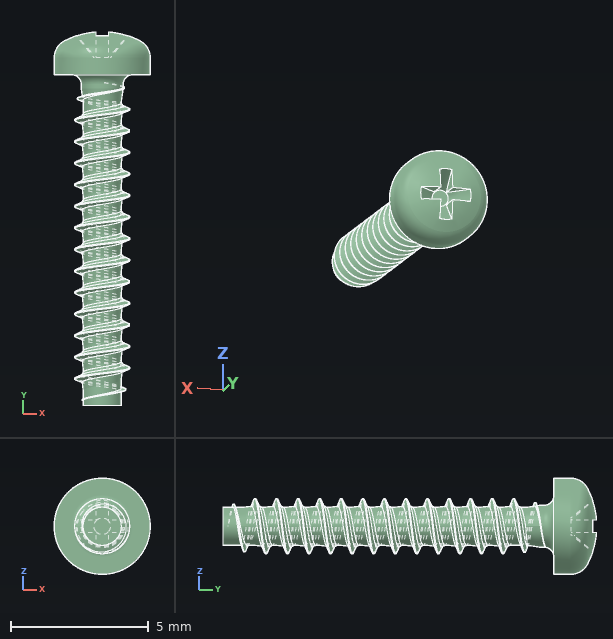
import math

import cadquery as cq


HEAD_RADIUS = 1.75
HEAD_HEIGHT = 1.5775
RIM_HEIGHT = 0.615
SHOULDER_RADIUS = 1.376
SHOULDER_HEIGHT = 1.235
SEAT_EDGE_FILLET = 0.03

RECESS_RADIUS = 0.94
RECESS_MOUTH_HEIGHT = 1.42
RECESS_FLOOR_RADIUS = 0.3
RECESS_DEPTH = 0.8
WING_WIDTH = 0.45

SHANK_LENGTH = 12.0
NECK_RADIUS = 0.765
NECK_FILLET_WIDTH = 0.355
NECK_FILLET_LENGTH = 0.335
NECK_END = 0.5
CORE_START = 1.0
CORE_RADIUS = 0.693

PITCH = 0.782
CREST_RADIUS = 1.0
CREST_HALF_WIDTH = 0.02
FLANK_HALF_WIDTH = 0.125
HEAD_SIDE_FOOT_RADIUS = 0.76
TIP_SIDE_FOOT_RADIUS = 0.73
RAMP_START = 0.25
CORE_SLOPE_END = 0.52
ROOT_RADIUS = 0.6
OVERLAP = 0.01
FIRST_FULL_CREST = 1.25
RUN_IN_TURNS = 1.4
FULL_TURNS = 12.5
RUN_OUT_TURNS = 1.0
FADED_SCALE = 0.15
FADED_DROP = 0.26
CYLINDER_ANGLE = 360


def turn_about_axis(shape, turns):
    """Rotate a shape about the screw axis by a number of turns."""
    return shape.rotate(cq.Vector(0, 0, 0), cq.Vector(0, 0, 1), 360 * turns)


def make_body():
    """Head and plain shank as one turned profile."""
    dome_drop = HEAD_HEIGHT - SHOULDER_HEIGHT
    dome_radius = (SHOULDER_RADIUS**2 + dome_drop**2) / (2 * dome_drop)
    shoulder_inset = HEAD_RADIUS - SHOULDER_RADIUS
    shoulder_rise = SHOULDER_HEIGHT - RIM_HEIGHT
    shoulder_arc_radius = (shoulder_inset**2 + shoulder_rise**2) / (2 * shoulder_inset)
    arc_middle = 1 - math.sqrt(0.5)
    fillet_end = (NECK_RADIUS, NECK_FILLET_LENGTH)
    fillet_middle = (
        NECK_RADIUS + NECK_FILLET_WIDTH * arc_middle,
        NECK_FILLET_LENGTH * arc_middle,
    )
    profile = (
        cq.Workplane("XZ")
        .moveTo(0, -HEAD_HEIGHT)
        .radiusArc((SHOULDER_RADIUS, -SHOULDER_HEIGHT), -dome_radius)
        .radiusArc((HEAD_RADIUS, -RIM_HEIGHT), -shoulder_arc_radius)
        .lineTo(HEAD_RADIUS, -SEAT_EDGE_FILLET)
        .radiusArc((HEAD_RADIUS - SEAT_EDGE_FILLET, 0), -SEAT_EDGE_FILLET)
        .lineTo(NECK_RADIUS + NECK_FILLET_WIDTH, 0)
        .threePointArc(fillet_middle, fillet_end)
        .lineTo(NECK_RADIUS, NECK_END)
        .lineTo(CORE_RADIUS, CORE_START)
        .lineTo(CORE_RADIUS, SHANK_LENGTH)
        .lineTo(0, SHANK_LENGTH)
        .close()
    )
    return profile.revolve(360, (0, 0, 0), (0, 1, 0))


def make_recess():
    """Cross-shaped driver recess whose wings taper towards the floor."""
    floor_height = RECESS_MOUTH_HEIGHT - RECESS_DEPTH
    slope = (RECESS_RADIUS - RECESS_FLOOR_RADIUS) / RECESS_DEPTH
    top_radius = RECESS_RADIUS + slope * (HEAD_HEIGHT - RECESS_MOUTH_HEIGHT)
    depth = HEAD_HEIGHT - floor_height
    cone = cq.Workplane(
        cq.Solid.makeCone(top_radius, RECESS_FLOOR_RADIUS, depth, cq.Vector(0, 0, -HEAD_HEIGHT))
    )
    start = cq.Workplane("XY", origin=(0, 0, -HEAD_HEIGHT))
    wing_along_x = start.rect(2 * top_radius, WING_WIDTH).extrude(depth)
    wing_along_y = start.rect(WING_WIDTH, 2 * top_radius).extrude(depth)
    return wing_along_x.union(wing_along_y).intersect(cone)


def thread_profile():
    """Thread section as (axial offset from the crest, radius) points, from head to tip side."""
    return [
        (-RAMP_START, ROOT_RADIUS),
        (-RAMP_START, CORE_RADIUS - OVERLAP),
        (-FLANK_HALF_WIDTH, HEAD_SIDE_FOOT_RADIUS),
        (-CREST_HALF_WIDTH, CREST_RADIUS),
        (CREST_HALF_WIDTH, CREST_RADIUS),
        (FLANK_HALF_WIDTH, TIP_SIDE_FOOT_RADIUS),
        (CORE_SLOPE_END, CORE_RADIUS - OVERLAP),
        (CORE_SLOPE_END, ROOT_RADIUS),
    ]


def helix(start, end, first_turn, turns):
    """Helix (conical if the radius changes) from one section point to another."""
    start_offset, start_radius = start
    end_offset, end_radius = end
    rise = turns * PITCH + end_offset - start_offset
    growth = end_radius - start_radius
    slant = math.hypot(rise, growth)
    cone_angle = math.degrees(math.atan2(growth, rise)) if growth else CYLINDER_ANGLE
    start_height = FIRST_FULL_CREST + first_turn * PITCH + start_offset
    wire = cq.Wire.makeHelix(
        slant / turns, slant, start_radius, cq.Vector(0, 0, start_height), angle=cone_angle
    )
    return turn_about_axis(wire, first_turn)


def section_face(profile, turn):
    """Flat end face of the thread at the given turn."""
    height = FIRST_FULL_CREST + turn * PITCH
    points = [cq.Vector(radius, 0, height + offset) for offset, radius in profile]
    wire = cq.Wire.makePolygon(points, close=True)
    return turn_about_axis(cq.Face.makeFromWires(wire), turn)


def thread_stretch(start_profile, end_profile, first_turn, turns):
    """Solid thread over some turns, blending from one section to another."""
    edges = [
        helix(start, end, first_turn, turns) for start, end in zip(start_profile, end_profile)
    ]
    faces = [
        cq.Face.makeRuledSurface(edge, following)
        for edge, following in zip(edges, edges[1:] + edges[:1])
    ]
    faces.append(section_face(start_profile, first_turn))
    faces.append(section_face(end_profile, first_turn + turns))
    strips = [face for part in faces for face in part.Faces()]
    return cq.Solid.makeSolid(cq.Shell.makeShell(strips))


def make_thread():
    """Run-in, full-height and run-out stretches of the thread."""
    full = thread_profile()
    faded = [(FADED_SCALE * offset, radius - FADED_DROP) for offset, radius in full]
    return [
        thread_stretch(faded, full, -RUN_IN_TURNS, RUN_IN_TURNS),
        thread_stretch(full, full, 0, FULL_TURNS),
        thread_stretch(full, faded, FULL_TURNS, RUN_OUT_TURNS),
    ]


def trim_tip(screw):
    """Cut off the end of the thread that runs past the tip."""
    spare = cq.Workplane("XY", origin=(0, 0, SHANK_LENGTH)).circle(HEAD_RADIUS).extrude(PITCH)
    return screw.cut(spare)


screw = make_body().cut(make_recess())
for stretch in make_thread():
    screw = screw.union(cq.Workplane(stretch))
screw = trim_tip(screw)
result = screw.rotate((0, 0, 0), (1, 0, 0), 90)